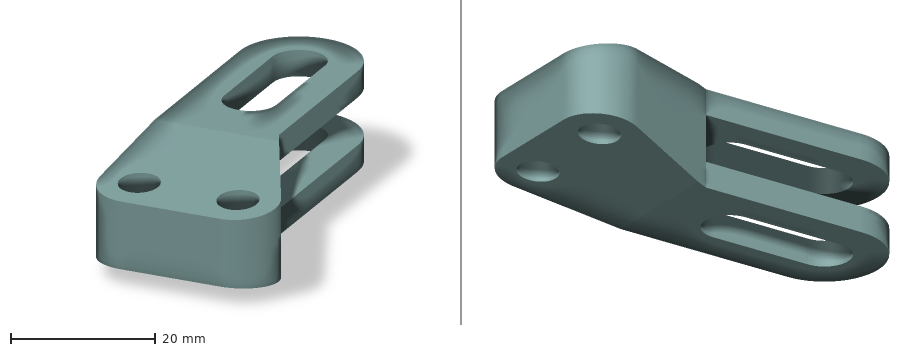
import cadquery as cq
import math

length = 61.0
width = 27.0
height = 15.0

arm_width = 18.0
arm_radius = arm_width / 2
arm_gap = 7.15
gap_end_y = 26.0

slot_width = 8.0
slot_travel = 16.0
arm_center_y = length - arm_radius

hole_diameter = 6.0
corner_radius = 6.0
foot_hole_xs = (corner_radius, width - corner_radius)
taper_start_y = 24.0
foot_end_height = 10.1

cut_margin = 0.6


def flare_tangent_point():
    """Point where the flared side meets the right foot corner tangentially."""
    center_x = foot_hole_xs[1]
    dx = arm_width - center_x
    dy = gap_end_y - corner_radius
    angle = math.atan2(dy, dx) - math.acos(corner_radius / math.hypot(dx, dy))
    return (
        center_x + corner_radius * math.cos(angle),
        corner_radius + corner_radius * math.sin(angle),
    )


def plate():
    """Plan outline extruded to full height, centred on Z = 0."""
    diagonal = corner_radius * math.sqrt(0.5)
    left_x, right_x = foot_hole_xs
    return (
        cq.Workplane("XY")
        .workplane(offset=-height / 2)
        .moveTo(0, corner_radius)
        .threePointArc((left_x - diagonal, corner_radius - diagonal), (left_x, 0))
        .lineTo(right_x, 0)
        .threePointArc((right_x + diagonal, corner_radius - diagonal), flare_tangent_point())
        .lineTo(arm_width, gap_end_y)
        .lineTo(arm_width, arm_center_y)
        .threePointArc((arm_radius, length), (0, arm_center_y))
        .close()
        .extrude(height)
    )


def side_profile():
    """Side silhouette in YZ: flat arms, then a symmetric taper to the foot end."""
    return (
        cq.Workplane("YZ")
        .polyline([
            (0, -foot_end_height / 2),
            (taper_start_y, -height / 2),
            (length, -height / 2),
            (length, height / 2),
            (taper_start_y, height / 2),
            (0, foot_end_height / 2),
        ])
        .close()
        .extrude(width)
    )


def gap_cutter():
    """Box that separates the two arms."""
    return cq.Workplane("XY").box(
        width + cut_margin, length - gap_end_y + cut_margin, arm_gap, centered=(False, False, True)
    ).translate((-cut_margin / 2, gap_end_y, 0))


def slot_cutter():
    """Vertical round-ended slot through both arms."""
    return (
        cq.Workplane("XY")
        .center(arm_radius, arm_center_y - slot_travel / 2)
        .slot2D(slot_travel + slot_width, slot_width, 90)
        .extrude(height / 2 + cut_margin, both=True)
    )


def foot_hole_cutters():
    """Vertical through holes, concentric with the foot corners."""
    return (
        cq.Workplane("XY")
        .pushPoints([(x, corner_radius) for x in foot_hole_xs])
        .circle(hole_diameter / 2)
        .extrude(height / 2 + cut_margin, both=True)
    )


result = (
    plate()
    .intersect(side_profile())
    .cut(gap_cutter())
    .cut(slot_cutter())
    .cut(foot_hole_cutters())
)